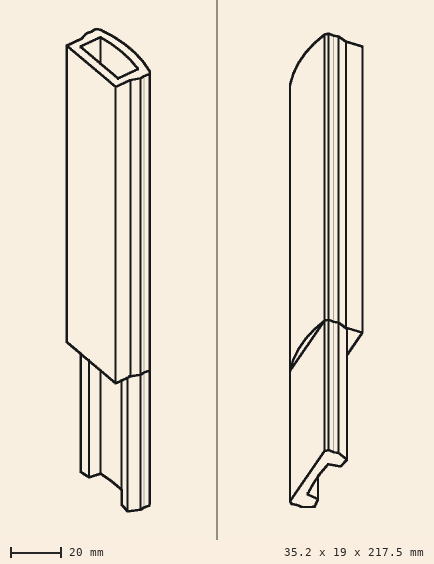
import cadquery as cq

total_height = 217.5
strip_height = 68.0
sleeve_height = total_height - strip_height

side_half_width = 17.6
notch_depth = 0.33
notch_half_width = side_half_width - notch_depth
shoulder_half_width = 16.3
shoulder_y = 16.5
side_top_y = 15.33
notch_y = 12.95
side_bottom_y = 10.98

neck_half_width = 16.0
neck_y = 7.2
sleeve_back_y = 19.0

cavity_top_half_width = 12.5
cavity_top_front_y = 4.0
cavity_top_corner_y = 13.7
cavity_top_peak_y = 15.0
cavity_bottom_front_y = 5.9

leg_outer_half_width = 15.5
leg_outer_y = 6.3
leg_inner_y = 7.0
channel_mouth_half_width = 10.7
channel_floor_half_width = 9.8
channel_corner_y = 12.0
channel_peak_y = 12.6


def side_points(sign):
    """Notched side from its bottom edge up to the back shoulder."""
    return [
        (sign * side_half_width, side_bottom_y),
        (sign * notch_half_width, notch_y),
        (sign * side_half_width, side_top_y),
        (sign * shoulder_half_width, shoulder_y),
    ]


def add_cavity_section(plane, half_width, front_y, corner_y, peak_y):
    """Rectangle whose back edge is a shallow arc."""
    return (
        plane.moveTo(-half_width, front_y)
        .lineTo(half_width, front_y)
        .lineTo(half_width, corner_y)
        .threePointArc((0, peak_y), (-half_width, corner_y))
        .close()
    )


def make_cavity():
    bottom = add_cavity_section(
        cq.Workplane("XY").workplane(offset=strip_height),
        channel_floor_half_width, cavity_bottom_front_y, channel_corner_y, channel_peak_y,
    )
    both_ends = add_cavity_section(
        bottom.workplane(offset=sleeve_height),
        cavity_top_half_width, cavity_top_front_y, cavity_top_corner_y, cavity_top_peak_y,
    )
    return both_ends.loft(ruled=True)


def make_sleeve():
    right_side = [(neck_half_width, 0), (neck_half_width, neck_y)] + side_points(1)
    left_side = side_points(-1)[::-1] + [(-neck_half_width, neck_y), (-neck_half_width, 0)]
    outer = (
        cq.Workplane("XY", origin=(0, 0, strip_height))
        .polyline(right_side)
        .threePointArc((0, sleeve_back_y), left_side[0])
    )
    for point in left_side[1:]:
        outer = outer.lineTo(*point)
    return outer.close().extrude(sleeve_height).cut(make_cavity())


def make_channel_strip():
    right_leg = [
        (channel_floor_half_width, channel_corner_y),
        (channel_mouth_half_width, leg_inner_y),
        (leg_outer_half_width, leg_outer_y),
    ]
    left_leg = [(-x, y) for x, y in reversed(right_leg)]
    outline = right_leg + side_points(1) + side_points(-1)[::-1] + left_leg
    return (
        cq.Workplane("XY")
        .polyline(outline)
        .threePointArc((0, channel_peak_y), right_leg[0])
        .close()
        .extrude(strip_height)
    )


sleeve = make_sleeve()
channel_strip = make_channel_strip()

result = cq.Compound.makeCompound([sleeve.val(), channel_strip.val()])